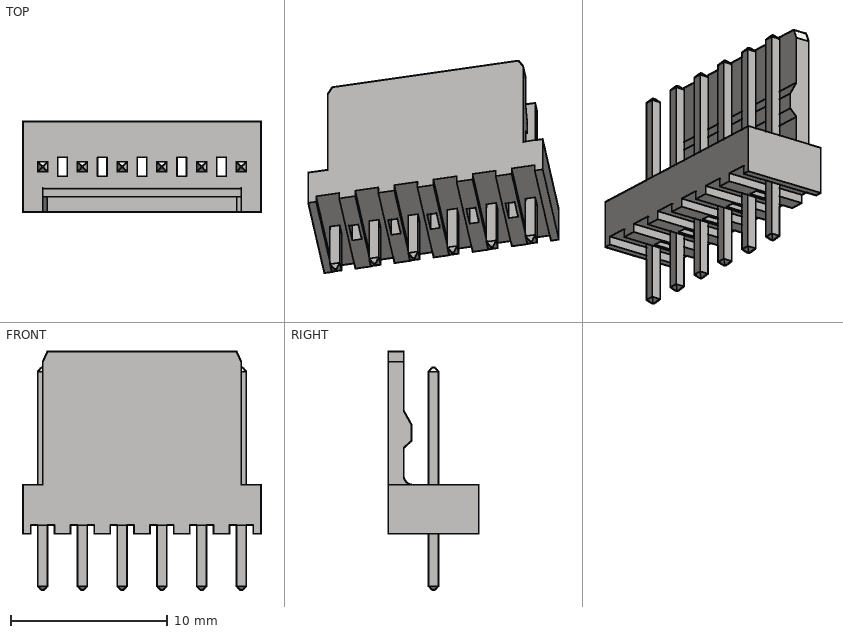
import cadquery as cq

PIN_COUNT = 6
PITCH = 2.54
PIN_WIDTH = 0.64
PIN_ABOVE_BASE = 7.5
PIN_BELOW_BASE = 3.6
TIP_HEIGHT = 0.27
TIP_FLAT = 0.14

BASE_LENGTH = PIN_COUNT * PITCH
BASE_DEPTH = 5.8
BASE_HEIGHT = 3.15
BASE_FRONT = -BASE_DEPTH / 2

GROOVE_WIDTH = 1.5
GROOVE_DEPTH = 0.56

SLOT_WIDTH = 0.6
SLOT_DEPTH = 1.2

WALL_LENGTH = (PIN_COUNT - 1) * PITCH
WALL_HEIGHT = 8.51
WALL_THICKNESS = 1.0
WALL_FILLET = 0.58
CORNER_CUT_X = 0.3
CORNER_CUT_Z = 0.66

RIDGE_PROJECTION = 0.5
RIDGE_START = 2.34
RIDGE_CREST_START = 2.8
RIDGE_CREST_END = 3.83
RIDGE_END = 4.73


def centred_row(count):
    """X positions of a row at the pin pitch, centred on the origin."""
    return [(i - (count - 1) / 2) * PITCH for i in range(count)]


def make_base():
    base = cq.Workplane("XY").box(BASE_LENGTH, BASE_DEPTH, BASE_HEIGHT, centered=(True, True, False))
    for x in centred_row(PIN_COUNT):
        groove = cq.Workplane("XY").box(
            GROOVE_WIDTH, BASE_DEPTH, GROOVE_DEPTH, centered=(True, True, False)
        )
        base = base.cut(groove.translate((x, 0, 0)))
    for x in centred_row(PIN_COUNT - 1):
        slot = cq.Workplane("XY").box(SLOT_WIDTH, SLOT_DEPTH, BASE_HEIGHT, centered=(True, True, False))
        base = base.cut(slot.translate((x, 0, 0)))
    return base


def make_wall():
    """Extrude the wall's YZ section along X, then cut its two top corners."""
    inner_face = BASE_FRONT + WALL_THICKNESS
    ridge_crest = inner_face + RIDGE_PROJECTION
    wall_top = BASE_HEIGHT + WALL_HEIGHT
    wall = (
        cq.Workplane("YZ")
        .moveTo(BASE_FRONT, BASE_HEIGHT)
        .lineTo(inner_face + WALL_FILLET, BASE_HEIGHT)
        .radiusArc((inner_face, BASE_HEIGHT + WALL_FILLET), WALL_FILLET)
        .lineTo(inner_face, BASE_HEIGHT + RIDGE_START)
        .lineTo(ridge_crest, BASE_HEIGHT + RIDGE_CREST_START)
        .lineTo(ridge_crest, BASE_HEIGHT + RIDGE_CREST_END)
        .lineTo(inner_face, BASE_HEIGHT + RIDGE_END)
        .lineTo(inner_face, wall_top)
        .lineTo(BASE_FRONT, wall_top)
        .close()
        .extrude(WALL_LENGTH / 2, both=True)
    )
    for side in (-1, 1):
        end = side * WALL_LENGTH / 2
        corner = (
            cq.Workplane("XZ")
            .moveTo(end, wall_top)
            .lineTo(end - side * CORNER_CUT_X, wall_top)
            .lineTo(end, wall_top - CORNER_CUT_Z)
            .close()
            .extrude(BASE_DEPTH / 2, both=True)
        )
        wall = wall.cut(corner)
    return wall


def make_tip(shoulder_z, end_z):
    """Four-sided taper from the full pin section to a small flat."""
    return (
        cq.Workplane("XY", origin=(0, 0, shoulder_z))
        .rect(PIN_WIDTH, PIN_WIDTH)
        .workplane(offset=end_z - shoulder_z)
        .rect(TIP_FLAT, TIP_FLAT)
        .loft(ruled=True)
    )


def make_pin():
    bottom = -PIN_BELOW_BASE
    top = BASE_HEIGHT + PIN_ABOVE_BASE
    lower_shoulder = bottom + TIP_HEIGHT
    upper_shoulder = top - TIP_HEIGHT
    shank = (
        cq.Workplane("XY", origin=(0, 0, lower_shoulder))
        .rect(PIN_WIDTH, PIN_WIDTH)
        .extrude(upper_shoulder - lower_shoulder)
    )
    return shank.union(make_tip(lower_shoulder, bottom)).union(make_tip(upper_shoulder, top))


result = make_base().union(make_wall())
for pin_x in centred_row(PIN_COUNT):
    result = result.union(make_pin().translate((pin_x, 0, 0)))